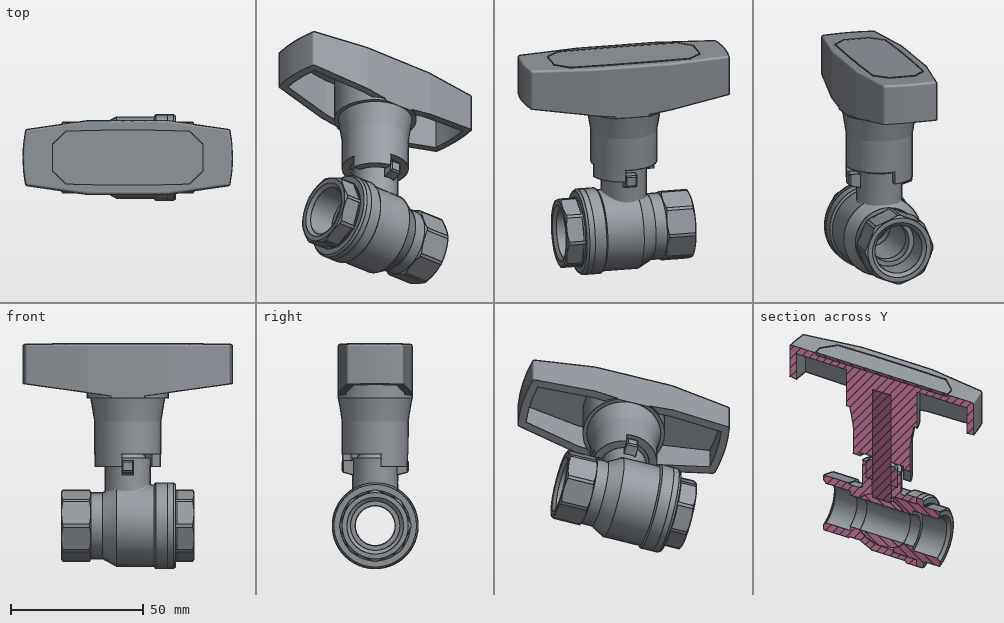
import cadquery as cq
import math

BALL_R = 12.0
BORE_R = 7.5
BALL_FACE_X = math.sqrt(BALL_R**2 - BORE_R**2)

END_X = 25.1
OCTAGON_AF = 25.3
OCTAGON_TRIM_R = 13.45
OCTAGON_END_R = 12.5
OCTAGON_CHAMFER = 0.55
OCTAGON_INNER_X = 13.9
THREAD_R = 18.63 / 2
SOCKET_MOUTH_R = 21.4 / 2
SOCKET_CHAMFER = 1.2
SOCKET_DEPTH = 11.5

NECK_R = 12.5
NECK_END_X = -9.5
BARREL_R = 15.4
BARREL_START_X = -4.2
COLLAR_R = 32.5 / 2
COLLAR_START_X = 9.95
COLLAR_EDGE = 0.65
SPLIT_X = 15.05
CHAMBER_END_X = 5.0
SPIGOT_R = 13.0

CAP_CHAMFER_X = 17.2
CAP_FLANGE_END_X = 18.1
CAP_CHAMFER_DEPTH = 0.65
CAP_RELIEF_R = 13.3
CAP_RELIEF_LENGTH = 0.6

TOWER_TOP_Z = 25.6
TOWER_TOP_R = 8.5
TOWER_BASE_R = 8.7
TOWER_FILLET = 0.5
LUG_HALF_WIDTH = 2.25
LUG_OUTER_Y = 12.5
LUG_TOP_Z = 24.65
LUG_TIP_Z = 20.3
LUG_ROOT_Z = 19.2
LUG_CHAMFER = 0.5
LUG_EMBED = 1.4

STEM_R = 4.5
STEM_TOP_Z = 60.0
TANG_BOTTOM_Z = 9.5
TANG_WIDTH = 4.0
GLAND_R = 7.0
GLAND_BOTTOM_Z = 18.0
GLAND_CONE_Z = TOWER_TOP_Z
GLAND_TOP_Z = 27.05
GLAND_TOP_R = 11.84 / 2

SLEEVE_R = 12.5
SLEEVE_INNER_R = 9.5
SLEEVE_BOTTOM_Z = 22.35
SLEEVE_CEILING_Z = 28.5
NOTCH_TOP_Z = 27.05
CONE_BOTTOM_Z = 39.35

GRIP_HALF_LENGTH = 79.22 / 2
GRIP_HALF_WIDTH = 14.0
GRIP_FLAT_X = 15.1
GRIP_CORNER_X = 38.55
GRIP_CORNER_Y = 10.6
GRIP_CORNER_R = 1.0
GRIP_TOP_EDGE = 0.9
GRIP_BOTTOM_Z = 48.35
GRIP_TIP_Z = 53.7
UNDERSIDE_SLOPE = 0.14
GRIP_TOP_Z = 68.6
GRIP_WALL = 2.9
GRIP_ROOF = 3.5
HUB_R = 15.4

PLATE_TOP_Z = 68.9
PLATE_THICKNESS = 1.5
PLATE_HALF_LENGTH = 28.4
PLATE_HALF_WIDTH = 10.45
PLATE_CORNER_X = 23.3
PLATE_CORNER_Y = 10.0
PLATE_END_HALF_WIDTH = 5.1


def cylinder_z(radius, z_bottom, z_top):
    return cq.Workplane("XY").workplane(offset=z_bottom).circle(radius).extrude(z_top - z_bottom)


def cone_z(bottom_radius, z_bottom, top_radius, z_top):
    profile = [(0, z_bottom), (bottom_radius, z_bottom), (top_radius, z_top), (0, z_top)]
    return cq.Workplane("XZ").polyline(profile).close().revolve(360, (0, 0, 0), (0, 1, 0))


def block(x_range, y_range, z_range):
    size = [end - start for start, end in (x_range, y_range, z_range)]
    corner = (x_range[0], y_range[0], z_range[0])
    return cq.Workplane("XY").box(*size, centered=False).translate(corner)


def turned_x(points):
    """Solid of revolution about the X axis from (x, radius) points."""
    return cq.Workplane("XY").polyline(points).close().revolve(360, (0, 0, 0), (1, 0, 0))


def ball_blank():
    """Ball envelope, cut flat where the flow bore breaks out at both ends."""
    profile = (
        cq.Workplane("XY").moveTo(-BALL_FACE_X, 0).lineTo(-BALL_FACE_X, BORE_R)
        .threePointArc((0, BALL_R), (BALL_FACE_X, BORE_R))
        .lineTo(BALL_FACE_X, 0).close()
    )
    return profile.revolve(360, (0, 0, 0), (1, 0, 0))


def octagon_end(x_outer, x_inner, chamfer_inner):
    """Octagonal wrench end with trimmed corners; x_outer is the pipe face."""
    inward = math.copysign(1, x_inner - x_outer)
    step = inward * OCTAGON_CHAMFER
    points = [(x_outer, 0), (x_outer, OCTAGON_END_R), (x_outer + step, OCTAGON_TRIM_R)]
    if chamfer_inner:
        points += [(x_inner - step, OCTAGON_TRIM_R), (x_inner, OCTAGON_END_R)]
    else:
        points.append((x_inner, OCTAGON_TRIM_R))
    points.append((x_inner, 0))
    corner_diameter = OCTAGON_AF / math.cos(math.pi / 8)
    prism = (
        cq.Workplane("YZ").workplane(offset=x_outer)
        .polygon(8, corner_diameter)
        .extrude(x_inner - x_outer)
    )
    return turned_x(points).intersect(prism)


def threaded_socket(side):
    """Cutter for a pipe socket on the -X (side=-1) or +X (side=1) end."""
    thread_x = END_X - SOCKET_CHAMFER
    bottom_x = END_X - SOCKET_DEPTH
    points = [
        (END_X, 0), (END_X, SOCKET_MOUTH_R), (thread_x, THREAD_R),
        (bottom_x, THREAD_R), (bottom_x, 0),
    ]
    return turned_x([(side * x, radius) for x, radius in points])


def stop_lug(side):
    """Stop lug on the -Y (side=-1) or +Y (side=1) flank of the stem tower."""
    root_y = TOWER_TOP_R - LUG_EMBED
    slope = (LUG_TIP_Z - LUG_ROOT_Z) / (LUG_OUTER_Y - TOWER_TOP_R)
    root_z = LUG_TIP_Z - slope * (LUG_OUTER_Y - root_y)
    profile = [
        (side * root_y, root_z), (side * LUG_OUTER_Y, LUG_TIP_Z),
        (side * LUG_OUTER_Y, LUG_TOP_Z), (side * root_y, LUG_TOP_Z),
    ]
    lug = cq.Workplane("YZ").polyline(profile).close().extrude(LUG_HALF_WIDTH, both=True)
    outer_face = ">Y" if side > 0 else "<Y"
    return lug.faces(outer_face).edges().chamfer(LUG_CHAMFER)


def make_housing():
    barrel = turned_x([
        (-OCTAGON_INNER_X, 0), (-OCTAGON_INNER_X, NECK_R), (NECK_END_X, NECK_R),
        (BARREL_START_X, BARREL_R), (COLLAR_START_X, BARREL_R),
        (COLLAR_START_X + COLLAR_EDGE, COLLAR_R), (SPLIT_X, COLLAR_R), (SPLIT_X, 0),
    ])
    tower = cone_z(TOWER_BASE_R, 0, TOWER_TOP_R, TOWER_TOP_Z)
    body = barrel.union(tower)

    root_edges = body.edges("not %CIRCLE").edges("not %LINE")
    body = root_edges.fillet(TOWER_FILLET)

    body = body.union(octagon_end(-END_X, -OCTAGON_INNER_X, chamfer_inner=True))
    for side in (-1, 1):
        body = body.union(stop_lug(side))

    chamber = turned_x([
        (-END_X, 0), (-END_X, BORE_R), (0, BORE_R), (0, BALL_R), (CHAMBER_END_X, BALL_R),
        (CHAMBER_END_X, SPIGOT_R), (SPLIT_X, SPIGOT_R), (SPLIT_X, 0),
    ])
    body = body.cut(chamber).cut(ball_blank()).cut(threaded_socket(-1))

    body = body.cut(cylinder_z(STEM_R, 0, TOWER_TOP_Z))
    return body.cut(cylinder_z(GLAND_R, GLAND_BOTTOM_Z, TOWER_TOP_Z))


def make_end_cap():
    flange = turned_x([
        (CHAMBER_END_X, 0), (CHAMBER_END_X, SPIGOT_R), (SPLIT_X, SPIGOT_R), (SPLIT_X, COLLAR_R),
        (CAP_CHAMFER_X, COLLAR_R), (CAP_FLANGE_END_X, COLLAR_R - CAP_CHAMFER_DEPTH),
        (CAP_FLANGE_END_X, CAP_RELIEF_R), (CAP_FLANGE_END_X + CAP_RELIEF_LENGTH, CAP_RELIEF_R),
        (CAP_FLANGE_END_X + CAP_RELIEF_LENGTH, 0),
    ])
    cap = flange.union(octagon_end(END_X, CAP_FLANGE_END_X, chamfer_inner=False))
    bore = cq.Workplane("YZ").circle(BORE_R).extrude(END_X)
    return cap.cut(bore).cut(ball_blank()).cut(threaded_socket(1))


def make_stem():
    shank = cylinder_z(STEM_R, BALL_R, STEM_TOP_Z)
    tang_side = (-TANG_WIDTH / 2, TANG_WIDTH / 2)
    tang_blank = block((-STEM_R, STEM_R), tang_side, (TANG_BOTTOM_Z, BALL_R))
    tang = tang_blank.intersect(cylinder_z(STEM_R, TANG_BOTTOM_Z, BALL_R))
    return shank.union(tang)


def make_ball(stem):
    bore = cq.Workplane("YZ").circle(BORE_R).extrude(BALL_R, both=True)
    return ball_blank().cut(bore).cut(stem)


def make_gland():
    gland = cylinder_z(GLAND_R, GLAND_BOTTOM_Z, GLAND_CONE_Z)
    gland = gland.union(cone_z(GLAND_R, GLAND_CONE_Z, GLAND_TOP_R, GLAND_TOP_Z))
    return gland.cut(cylinder_z(STEM_R, GLAND_BOTTOM_Z, GLAND_TOP_Z))


def grip_outline():
    """Closed outline of the grip: straight flanks that taper to two bowed ends."""
    return (
        cq.Workplane("XY").workplane(offset=GRIP_BOTTOM_Z)
        .moveTo(-GRIP_FLAT_X, -GRIP_HALF_WIDTH)
        .lineTo(GRIP_FLAT_X, -GRIP_HALF_WIDTH)
        .lineTo(GRIP_CORNER_X, -GRIP_CORNER_Y)
        .threePointArc((GRIP_HALF_LENGTH, 0), (GRIP_CORNER_X, GRIP_CORNER_Y))
        .lineTo(GRIP_FLAT_X, GRIP_HALF_WIDTH)
        .lineTo(-GRIP_FLAT_X, GRIP_HALF_WIDTH)
        .lineTo(-GRIP_CORNER_X, GRIP_CORNER_Y)
        .threePointArc((-GRIP_HALF_LENGTH, 0), (-GRIP_CORNER_X, -GRIP_CORNER_Y))
        .close()
    )


def underside_cutter():
    """Material below the two underside slopes, which fall towards the hub."""
    middle_z = GRIP_TIP_Z - UNDERSIDE_SLOPE * GRIP_HALF_LENGTH
    profile = [
        (-GRIP_HALF_LENGTH, GRIP_TIP_Z), (0, middle_z), (GRIP_HALF_LENGTH, GRIP_TIP_Z),
        (GRIP_HALF_LENGTH, SLEEVE_BOTTOM_Z), (-GRIP_HALF_LENGTH, SLEEVE_BOTTOM_Z),
    ]
    return cq.Workplane("XZ").polyline(profile).close().extrude(2 * GRIP_HALF_WIDTH, both=True)


def make_grip():
    height = GRIP_TOP_Z - GRIP_BOTTOM_Z
    outer = grip_outline().extrude(height)
    end_corners = outer.edges("|Z").filter(lambda edge: abs(edge.Center().x) > GRIP_FLAT_X + GRIP_CORNER_R)
    outer = end_corners.fillet(GRIP_CORNER_R)
    outer = outer.faces(">Z").edges().fillet(GRIP_TOP_EDGE)
    hub = cylinder_z(HUB_R, GRIP_BOTTOM_Z, GRIP_TOP_Z).intersect(outer)
    cavity = grip_outline().offset2D(-GRIP_WALL).extrude(height - GRIP_ROOF)
    shell = outer.cut(underside_cutter()).cut(cavity)
    return shell.union(hub)


def sleeve_notch():
    """Quarter opening at the foot of the sleeve, on the +X / -Y side of the axis."""
    x_range = (-LUG_HALF_WIDTH, SLEEVE_R)
    y_range = (-SLEEVE_R, LUG_HALF_WIDTH)
    return block(x_range, y_range, (SLEEVE_BOTTOM_Z, NOTCH_TOP_Z))


def make_handle(plate):
    sleeve = cylinder_z(SLEEVE_R, SLEEVE_BOTTOM_Z, CONE_BOTTOM_Z)
    sleeve = sleeve.union(cone_z(SLEEVE_R, CONE_BOTTOM_Z, GRIP_HALF_WIDTH, GRIP_BOTTOM_Z))
    sleeve = sleeve.cut(cylinder_z(SLEEVE_INNER_R, SLEEVE_BOTTOM_Z, SLEEVE_CEILING_Z))
    for turn in (0, 180):
        sleeve = sleeve.cut(sleeve_notch().rotate((0, 0, 0), (0, 0, 1), turn))
    handle = sleeve.union(make_grip())
    return handle.cut(cylinder_z(STEM_R, SLEEVE_BOTTOM_Z, STEM_TOP_Z)).cut(plate)


def make_label_plate():
    return (
        cq.Workplane("XY").workplane(offset=PLATE_TOP_Z - PLATE_THICKNESS)
        .moveTo(-PLATE_CORNER_X, -PLATE_CORNER_Y)
        .threePointArc((0, -PLATE_HALF_WIDTH), (PLATE_CORNER_X, -PLATE_CORNER_Y))
        .lineTo(PLATE_HALF_LENGTH, -PLATE_END_HALF_WIDTH)
        .lineTo(PLATE_HALF_LENGTH, PLATE_END_HALF_WIDTH)
        .lineTo(PLATE_CORNER_X, PLATE_CORNER_Y)
        .threePointArc((0, PLATE_HALF_WIDTH), (-PLATE_CORNER_X, PLATE_CORNER_Y))
        .lineTo(-PLATE_HALF_LENGTH, PLATE_END_HALF_WIDTH)
        .lineTo(-PLATE_HALF_LENGTH, -PLATE_END_HALF_WIDTH)
        .close()
        .extrude(PLATE_THICKNESS)
    )


housing = make_housing()
end_cap = make_end_cap()
stem = make_stem()
ball = make_ball(stem)
gland = make_gland()
label_plate = make_label_plate()
handle = make_handle(label_plate)

bodies = [housing, end_cap, stem, ball, gland, label_plate, handle]
result = cq.Compound.makeCompound([body.val() for body in bodies])